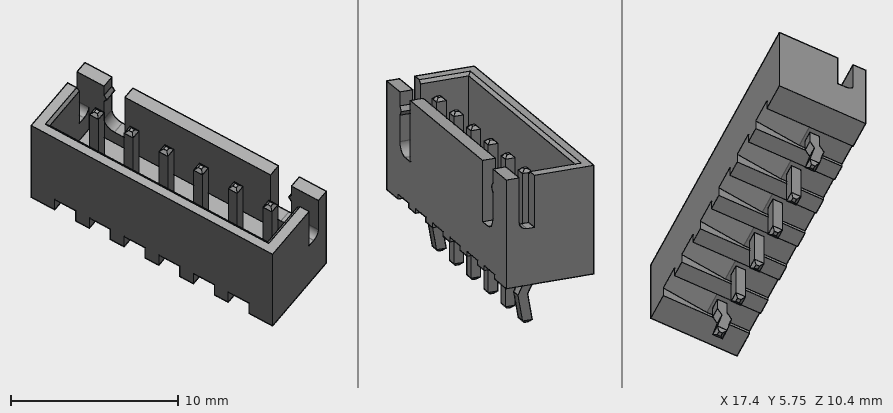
import cadquery as cq


PIN_COUNT = 6
PITCH = 2.5
ROW_LENGTH = (PIN_COUNT - 1) * PITCH
PIN_X = [i * PITCH - ROW_LENGTH / 2 for i in range(PIN_COUNT)]

END_MARGIN = 2.45
LENGTH = ROW_LENGTH + 2 * END_MARGIN
HEIGHT = 7.0
BACK_Y = 2.35
FRONT_Y = -3.4
BACK_WALL = 0.85
END_WALL = 0.85
FRONT_WALL = 0.75
CAVITY_FLOOR_Z = 2.0
CAVITY_BACK_Y = BACK_Y - BACK_WALL
RIM_CHAMFER = 0.2

END_SLOT_WIDTH = 1.0
END_SLOT_FLOOR_Z = 3.65
END_SLOT_RADIUS = 0.5

BACK_SLOT_WIDTH = 1.5
BACK_SLOT_FLOOR_Z = 3.05
BACK_SLOT_RADIUS = 0.75
POST_WIDTH = 1.95
BUMP_REACH = 0.2
BUMP_HEIGHT = 0.6
BUMP_TOP_Z = 6.1

NOTCH_WIDTH = 1.5
NOTCH_MOUTH_HEIGHT = 1.0
NOTCH_INNER_HEIGHT = 0.3
NOTCH_SLOPE_RUN = 2.9

PIN_SIDE = 0.64
PIN_TOP_Z = 6.5
PIN_BOTTOM_Z = -3.4
TIP_HEIGHT = 0.2
TIP_INSET = 0.2

KINK_START_Z = -0.9
KINK_KNEE_Z = -1.49
KINK_OFFSET = 0.3


def box(x_range, y_range, z_range):
    """Axis-aligned box from its limits along X, Y and Z."""
    size = [high - low for low, high in (x_range, y_range, z_range)]
    corner = (x_range[0], y_range[0], z_range[0])
    return cq.Workplane("XY").box(*size, centered=False).translate(corner)


def shell():
    """Open-topped box with bevelled inner rims on the front and end walls."""
    half = LENGTH / 2
    inner_half = half - END_WALL
    inner_front = FRONT_Y + FRONT_WALL
    body = box((-half, half), (FRONT_Y, BACK_Y), (0, HEIGHT))
    cavity = box((-inner_half, inner_half), (inner_front, CAVITY_BACK_Y), (CAVITY_FLOOR_Z, HEIGHT))
    rim_depth = CAVITY_BACK_Y - inner_front + RIM_CHAMFER
    rim = (
        cq.Workplane("XY")
        .workplane(offset=HEIGHT)
        .center(0, CAVITY_BACK_Y - rim_depth / 2)
        .rect(2 * (inner_half + RIM_CHAMFER), rim_depth)
        .workplane(offset=-RIM_CHAMFER)
        .center(0, RIM_CHAMFER / 2)
        .rect(2 * inner_half, rim_depth - RIM_CHAMFER)
        .loft(ruled=True)
    )
    return body.cut(cavity).cut(rim)


def end_slots():
    """Slot through both end walls, rounded at the foot next to the back wall."""
    slot = box(
        (-LENGTH / 2, LENGTH / 2),
        (CAVITY_BACK_Y - END_SLOT_WIDTH, CAVITY_BACK_Y),
        (END_SLOT_FLOOR_Z, HEIGHT),
    )
    return slot.edges("|X and >Y and <Z").fillet(END_SLOT_RADIUS)


def left_back_slot():
    """Slot through the back wall, less the wedge-shaped snap bump on the post."""
    post_x = -LENGTH / 2 + POST_WIDTH
    slot = box((post_x, post_x + BACK_SLOT_WIDTH), (CAVITY_BACK_Y, BACK_Y), (BACK_SLOT_FLOOR_Z, HEIGHT))
    slot = slot.edges("|Y and <X and <Z").fillet(BACK_SLOT_RADIUS)
    bump = (
        cq.Workplane("XZ", origin=(0, BACK_Y, 0))
        .moveTo(post_x, BUMP_TOP_Z)
        .lineTo(post_x + BUMP_REACH, BUMP_TOP_Z - BUMP_HEIGHT / 2)
        .lineTo(post_x, BUMP_TOP_Z - BUMP_HEIGHT)
        .close()
        .extrude(BACK_WALL)
    )
    return slot.cut(bump)


def notch(x):
    """Passage under one pin; its roof slopes down from the front mouth."""
    return (
        cq.Workplane("YZ", origin=(x - NOTCH_WIDTH / 2, 0, 0))
        .moveTo(FRONT_Y, 0)
        .lineTo(FRONT_Y, NOTCH_MOUTH_HEIGHT)
        .lineTo(FRONT_Y + NOTCH_SLOPE_RUN, NOTCH_INNER_HEIGHT)
        .lineTo(BACK_Y, NOTCH_INNER_HEIGHT)
        .lineTo(BACK_Y, 0)
        .close()
        .extrude(NOTCH_WIDTH)
    )


def pin_tip(x, base_z, direction):
    """Truncated pyramid ending a pin; direction is +1 for up and -1 for down."""
    return (
        cq.Workplane("XY", origin=(x, 0, base_z))
        .rect(PIN_SIDE, PIN_SIDE)
        .workplane(offset=direction * TIP_HEIGHT)
        .rect(PIN_SIDE - 2 * TIP_INSET, PIN_SIDE - 2 * TIP_INSET)
        .loft(ruled=True)
    )


def pin(x, kink):
    """One pin whose lower leg bulges towards the back by the given kink."""
    half = PIN_SIDE / 2
    top = PIN_TOP_Z - TIP_HEIGHT
    bottom = PIN_BOTTOM_Z + TIP_HEIGHT
    centre_line = [(0, top), (0, KINK_START_Z), (kink, KINK_KNEE_Z), (0, bottom)]
    front_side = [(y - half, z) for y, z in centre_line]
    back_side = [(y + half, z) for y, z in reversed(centre_line)]
    shank = (
        cq.Workplane("YZ", origin=(x - PIN_SIDE / 2, 0, 0))
        .polyline(front_side + back_side)
        .close()
        .extrude(PIN_SIDE)
    )
    return shank.union(pin_tip(x, top, 1)).union(pin_tip(x, bottom, -1))


housing = shell().cut(end_slots())
back_slot = left_back_slot()
housing = housing.cut(back_slot).cut(back_slot.mirror("YZ"))
for pin_x in PIN_X:
    housing = housing.cut(notch(pin_x))

result = housing
for pin_x in PIN_X:
    is_end_pin = pin_x in (PIN_X[0], PIN_X[-1])
    result = result.union(pin(pin_x, KINK_OFFSET if is_end_pin else 0))